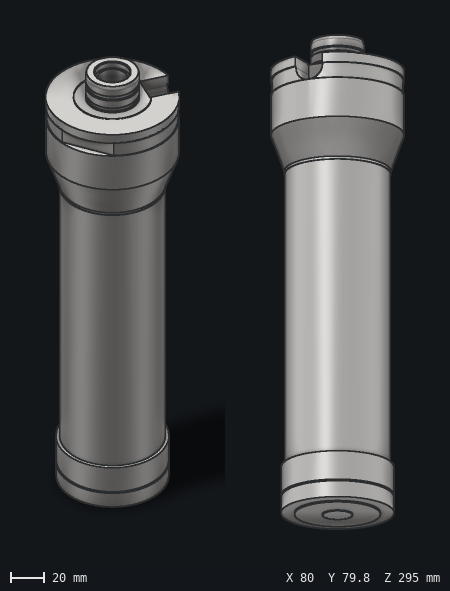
import cadquery as cq
import math

TOTAL_HEIGHT = 295.0
PAD_TOP_Z = 0.5
FOOT_BOTTOM_Z = 1.5
FOOT_GROOVE_Z = 11.5
FOOT_GROOVE_HEIGHT = 1.0
FOOT_TOP_Z = 30.0
CONE_BOTTOM_Z = 212.7
CONE_LIP_HEIGHT = 1.8
CONE_TOP_Z = 237.0
SHOULDER_Z = 261.5
PLATE_BOTTOM_Z = 270.8
PLATE_TOP_Z = 277.0

PAD_RADIUS = 18.0 / 2
DISC_RADIUS = 51.3 / 2
FOOT_RADIUS = 67.5 / 2
FOOT_GROOVE_DEPTH = 0.3
TUBE_RADIUS = 63.0 / 2
CONE_LIP_STEP = 0.3
HEAD_RADIUS = 79.6 / 2
NECK_RADIUS = 78.5 / 2
PLATE_RADIUS = 80.0 / 2

FLAT_ANGLE = -45
FLAT_DISTANCE = 35.5

SLOT_WIDTH = 17.7
SLOT_INNER_Y = 21.0
SLOT_DIP = 0.05
SLOT_AXIS_Z = SHOULDER_Z + SLOT_WIDTH / 2 - SLOT_DIP
SLOT_OVERRUN = 3.0

RECESS_RADIUS = 46.5 / 2
RECESS_DEPTH = 0.5
SPOUT_BASE_Z = PLATE_TOP_Z - RECESS_DEPTH
SPOUT_RADIUS = 32.2 / 2
GROOVE_RADIUS = 30.7 / 2
GROOVE_HEIGHT = 3.2
GROOVE_BOTTOMS = (SPOUT_BASE_Z, 285.0)
GROOVE_CHAMFER = 0.5
RIM_CHAMFER_HEIGHT = 2.0
RIM_CHAMFER_WIDTH = 0.5
MOUTH_RADIUS = 21.0 / 2
MOUTH_DEPTH = 4.5
MOUTH_CHAMFER = 0.5
BORE_RADIUS = 18.0 / 2
BORE_BOTTOM_Z = 277.3
DRILL_HALF_ANGLE = 59


def revolve_profile(profile):
    """Turn a closed (radius, z) outline about the Z axis."""
    return profile.close().revolve(360, (0, 0, 0), (0, 1, 0))


def slot_cutter():
    """Round-bottomed slot, open at the top and at the +Y side."""
    length = PLATE_RADIUS - SLOT_INNER_Y + SLOT_OVERRUN
    round_floor = (
        cq.Workplane("XZ", origin=(0, SLOT_INNER_Y, SLOT_AXIS_Z))
        .circle(SLOT_WIDTH / 2)
        .extrude(-length)
    )
    walls = cq.Workplane("XY", origin=(0, SLOT_INNER_Y, SLOT_AXIS_Z)).box(
        SLOT_WIDTH, length, PLATE_TOP_Z - SLOT_AXIS_Z + SLOT_OVERRUN, centered=(True, False, False)
    )
    return round_floor.union(walls)


def flat_cutter():
    """Block that leaves a flat on the neck between shoulder and plate."""
    return (
        cq.Workplane("XY")
        .box(
            PLATE_RADIUS,
            2 * PLATE_RADIUS,
            PLATE_BOTTOM_Z - SHOULDER_Z,
            centered=(False, True, False),
        )
        .translate((FLAT_DISTANCE, 0, SHOULDER_Z))
        .rotate((0, 0, 0), (0, 0, 1), FLAT_ANGLE)
    )


def make_housing():
    """Foot, tube, cone and head, turned as one piece with a stepped underside."""
    groove_radius = FOOT_RADIUS - FOOT_GROOVE_DEPTH
    lip_radius = TUBE_RADIUS + CONE_LIP_STEP
    outline = (
        cq.Workplane("XZ")
        .moveTo(0, 0)
        .lineTo(PAD_RADIUS, 0)
        .lineTo(PAD_RADIUS, PAD_TOP_Z)
        .lineTo(DISC_RADIUS, PAD_TOP_Z)
        .lineTo(DISC_RADIUS, FOOT_BOTTOM_Z)
        .lineTo(FOOT_RADIUS, FOOT_BOTTOM_Z)
        .lineTo(FOOT_RADIUS, FOOT_GROOVE_Z)
        .lineTo(groove_radius, FOOT_GROOVE_Z)
        .lineTo(groove_radius, FOOT_GROOVE_Z + FOOT_GROOVE_HEIGHT)
        .lineTo(FOOT_RADIUS, FOOT_GROOVE_Z + FOOT_GROOVE_HEIGHT)
        .lineTo(FOOT_RADIUS, FOOT_TOP_Z)
        .lineTo(TUBE_RADIUS, FOOT_TOP_Z)
        .lineTo(TUBE_RADIUS, CONE_BOTTOM_Z)
        .lineTo(lip_radius, CONE_BOTTOM_Z)
        .lineTo(lip_radius, CONE_BOTTOM_Z + CONE_LIP_HEIGHT)
        .lineTo(HEAD_RADIUS, CONE_TOP_Z)
        .lineTo(HEAD_RADIUS, SHOULDER_Z)
        .lineTo(0, SHOULDER_Z)
    )
    return revolve_profile(outline).cut(slot_cutter())


def spout_groove(bottom):
    """Ring cutter with sloping sides."""
    top = bottom + GROOVE_HEIGHT
    outline = (
        cq.Workplane("XZ")
        .moveTo(GROOVE_RADIUS, bottom + GROOVE_CHAMFER)
        .lineTo(SPOUT_RADIUS, bottom)
        .lineTo(SPOUT_RADIUS, top)
        .lineTo(GROOVE_RADIUS, top - GROOVE_CHAMFER)
    )
    return revolve_profile(outline)


def spout_bore():
    """Wide mouth, narrower bore and a drill-point floor."""
    mouth_floor = TOTAL_HEIGHT - MOUTH_DEPTH
    point_depth = BORE_RADIUS / math.tan(math.radians(DRILL_HALF_ANGLE))
    outline = (
        cq.Workplane("XZ")
        .moveTo(0, BORE_BOTTOM_Z - point_depth)
        .lineTo(BORE_RADIUS, BORE_BOTTOM_Z)
        .lineTo(BORE_RADIUS, mouth_floor)
        .lineTo(MOUTH_RADIUS, mouth_floor)
        .lineTo(MOUTH_RADIUS, TOTAL_HEIGHT - MOUTH_CHAMFER)
        .lineTo(MOUTH_RADIUS + MOUTH_CHAMFER, TOTAL_HEIGHT)
        .lineTo(0, TOTAL_HEIGHT)
    )
    return revolve_profile(outline)


def make_cap():
    """Neck, plate and spout in one piece, seated on the housing shoulder."""
    outline = (
        cq.Workplane("XZ")
        .moveTo(0, SHOULDER_Z)
        .lineTo(NECK_RADIUS, SHOULDER_Z)
        .lineTo(NECK_RADIUS, PLATE_BOTTOM_Z)
        .lineTo(PLATE_RADIUS, PLATE_BOTTOM_Z)
        .lineTo(PLATE_RADIUS, PLATE_TOP_Z)
        .lineTo(RECESS_RADIUS, PLATE_TOP_Z)
        .lineTo(RECESS_RADIUS, SPOUT_BASE_Z)
        .lineTo(SPOUT_RADIUS, SPOUT_BASE_Z)
        .lineTo(SPOUT_RADIUS, TOTAL_HEIGHT - RIM_CHAMFER_HEIGHT)
        .lineTo(SPOUT_RADIUS - RIM_CHAMFER_WIDTH, TOTAL_HEIGHT)
        .lineTo(0, TOTAL_HEIGHT)
    )
    cap = revolve_profile(outline)
    for bottom in GROOVE_BOTTOMS:
        cap = cap.cut(spout_groove(bottom))
    return cap.cut(spout_bore()).cut(slot_cutter()).cut(flat_cutter())


housing = make_housing()
cap = make_cap()
result = cq.Compound.makeCompound([housing.solids().val(), cap.solids().val()])